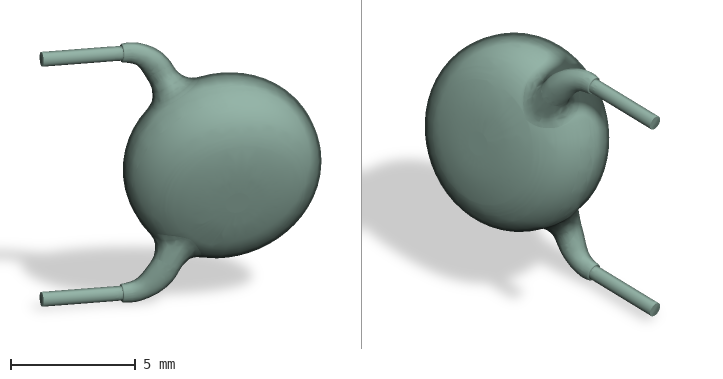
import cadquery as cq

disc_radius = 4.0
disc_half_thickness = 2.5
pole_flat_radius = 0.5
disc_tilt = 21.6
rim_fullness = 1.2
face_fullness = 1.6

wire_radius = 0.3
wire_offset = 5.0
wire_tip_y = -7.5
bend_start_y = -4.52

sleeve_tip_place = 0.08
sleeve_tip_radius = 0.37
sleeve_middle_radius = 0.45
sleeve_root_radius = 0.55
sleeve_tip_fillet = 0.05
root_fillet = 1.0

bend_points = [
    (0, bend_start_y, wire_offset),
    (-0.14, -2.95, 4.6),
    (-0.32, -2.52, 3.99),
    (-0.69, -1.72, 2.53),
]
bend_start_direction = cq.Vector(0, 1, 0)
bend_end_direction = cq.Vector(-0.3, 0.5, -1)
bend = cq.Edge.makeSpline(
    [cq.Vector(*point) for point in bend_points],
    tangents=[bend_start_direction, bend_end_direction],
)

sleeve_stations = [
    (sleeve_tip_place, sleeve_tip_radius),
    (0.26, sleeve_middle_radius),
    (0.45, sleeve_root_radius),
    (0.7, sleeve_root_radius),
    (1, sleeve_root_radius),
]

root_zone = [(-1.72, -2.88, -wire_offset), (1.72, -1.15, wire_offset)]

lead_turns = (0, 180)


def turn_about_y(shape, angle):
    return shape.rotate(cq.Vector(0, 0, 0), cq.Vector(0, 1, 0), angle)


def make_disc():
    """Revolve the half profile about Z, then tilt the disc axis."""
    rim = (disc_radius, 0)
    lower_flat_edge = (pole_flat_radius, -disc_half_thickness)
    outward = (face_fullness, 0)
    down = (0, -rim_fullness)
    inward = (-face_fullness, 0)
    profile = (
        cq.Workplane("XZ")
        .moveTo(0, disc_half_thickness)
        .lineTo(pole_flat_radius, disc_half_thickness)
        .spline([rim], tangents=[outward, down], includeCurrent=True, scale=False)
        .spline([lower_flat_edge], tangents=[down, inward], includeCurrent=True, scale=False)
        .lineTo(0, -disc_half_thickness)
        .close()
    )
    disc = profile.revolve(360, (0, 0, 0), (0, 1, 0)).val()
    return turn_about_y(disc, disc_tilt - 90)


def make_sleeve():
    """Tapered round sleeve that follows the upper bend."""
    rings = [
        cq.Wire.makeCircle(radius, bend.positionAt(place), bend.tangentAt(place))
        for place, radius in sleeve_stations
    ]
    sleeve = cq.Workplane(cq.Solid.makeLoft(rings))
    return sleeve.faces("<Y").edges().fillet(sleeve_tip_fillet).val()


def make_wire(angle):
    """Straight wire that carries on round the bend inside its sleeve."""
    straight = cq.Edge.makeLine(cq.Vector(0, wire_tip_y, wire_offset), bend.startPoint())
    path = cq.Wire.assembleEdges([straight, bend])
    wire = (
        cq.Workplane("XZ", origin=(0, wire_tip_y, wire_offset))
        .circle(wire_radius)
        .sweep(cq.Workplane(path))
    )
    return turn_about_y(wire.val(), angle)


def make_housing(wires):
    """Disc blended into both sleeves, with a passage for each wire."""
    housing = cq.Workplane(make_disc())
    for angle in lead_turns:
        housing = housing.union(cq.Workplane(turn_about_y(make_sleeve(), angle)))
    root_edges = housing.edges(cq.selectors.BoxSelector(*root_zone, boundingbox=True))
    housing = root_edges.fillet(root_fillet)
    for wire in wires:
        housing = housing.cut(cq.Workplane(wire))
    return housing.val()


wires = [make_wire(angle) for angle in lead_turns]
housing = make_housing(wires)
result = cq.Compound.makeCompound([housing, *wires])